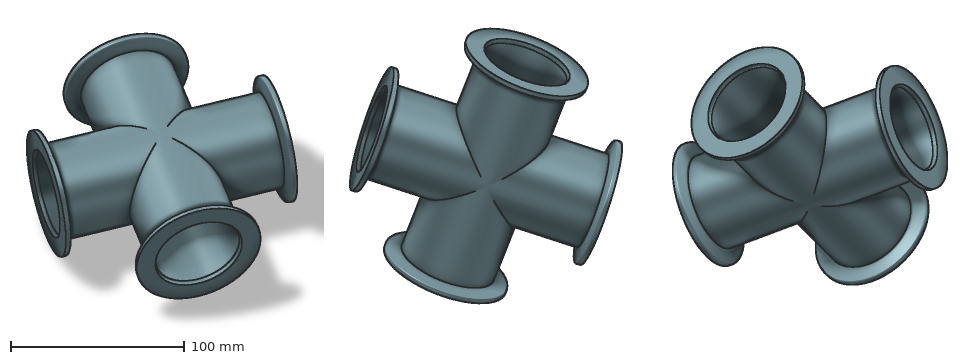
import cadquery as cq
import math

overall_length = 140.0
tube_diameter = 57.0
bore_diameter = 50.6

flange_diameter = 75.0
flange_thickness = 5.0
rim_width = 3.0
rim_fillet = 1.0
cone_angle = 15.0

recess_diameter = 52.4
recess_depth = 2.5
recess_fillet = 0.3

half_length = overall_length / 2
tube_radius = tube_diameter / 2
bore_radius = bore_diameter / 2
flange_radius = flange_diameter / 2
recess_radius = recess_diameter / 2
cone_drop = (flange_thickness - rim_width) / math.tan(math.radians(cone_angle))
shoulder_radius = flange_radius - cone_drop


def cylinder(radius, start, end):
    """Cylinder along +X from x = start to x = end."""
    return cq.Workplane("YZ", origin=(start, 0, 0)).circle(radius).extrude(end - start)


def flange():
    """Flange on the +X end, with a rounded rim and a conical back."""
    face_x = half_length
    corner_x = face_x - rim_width
    shoulder_x = face_x - flange_thickness
    turn = math.radians(90 - cone_angle)
    tangent_length = rim_fillet * math.tan(turn / 2)
    fillet_start = (corner_x + tangent_length, flange_radius)
    fillet_middle = (
        fillet_start[0] - rim_fillet * math.sin(turn / 2),
        flange_radius - rim_fillet * (1 - math.cos(turn / 2)),
    )
    fillet_end = (
        fillet_start[0] - rim_fillet * math.sin(turn),
        flange_radius - rim_fillet * (1 - math.cos(turn)),
    )
    return (
        cq.Workplane("XY")
        .moveTo(face_x, 0)
        .lineTo(face_x, flange_radius)
        .lineTo(*fillet_start)
        .threePointArc(fillet_middle, fillet_end)
        .lineTo(shoulder_x, shoulder_radius)
        .lineTo(shoulder_x, 0)
        .close()
        .revolve(360, (0, 0, 0), (1, 0, 0))
    )


def bore_cutter():
    """Through bore along X with a wider, round-cornered recess at both ends."""
    cutter = cylinder(bore_radius, -half_length, half_length)
    recess = cylinder(recess_radius, half_length - recess_depth, half_length)
    recess = recess.faces("<X").edges().fillet(recess_fillet)
    return cutter.union(recess).union(recess.mirror("YZ"))


def run_body():
    """One straight run along X: tube with a flange on each end."""
    end_flange = flange()
    tube = cylinder(tube_radius, -half_length, half_length)
    return tube.union(end_flange).union(end_flange.mirror("YZ"))


def turned_to_y(shape):
    """Quarter turn about Z, from the X run to the Y run."""
    return shape.rotate((0, 0, 0), (0, 0, 1), 90)


body = run_body()
cutter = bore_cutter()
result = body.union(turned_to_y(body)).cut(cutter).cut(turned_to_y(cutter))